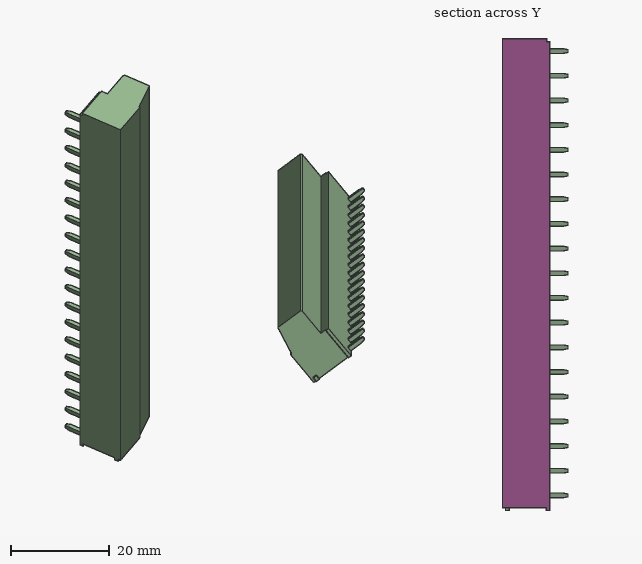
import cadquery as cq

pole_count = 19
pitch = 5.0
body_height = pole_count * pitch

base_width = 9.65
base_depth = 7.45
total_depth = 13.8
tower_left = 2.0
tower_right = 8.1
slope_foot_x = 9.4
shoulder_depth = 7.6
chamfer_x = 0.25
chamfer_y = 0.3

lip_width = 0.75
lip_height = 0.6
recess_width = 0.6
recess_height = 0.6

pin_length = 3.7
pin_thickness = 0.9
pin_width = 1.0
pin_center_y = 0.6
tip_length = 1.0
tip_size = 0.6

peg_width = 0.85
peg_depth = 1.0
peg_edge_gap = 0.6


def block(x, y, z, size_x, size_y, size_z):
    """Box whose minimum corner is at (x, y, z)."""
    return cq.Workplane("XY").box(size_x, size_y, size_z, centered=False).translate((x, y, z))


def make_body():
    outline = [
        (0, 0),
        (base_width, 0),
        (base_width, shoulder_depth),
        (slope_foot_x, shoulder_depth),
        (tower_right, total_depth),
        (tower_left + chamfer_x, total_depth),
        (tower_left, total_depth - chamfer_y),
        (tower_left, base_depth),
        (0, base_depth),
    ]
    return cq.Workplane("XY").polyline(outline).close().extrude(body_height)


def make_pin(center_z):
    """Solder pin pointing along -X, with a tapered tip."""
    shank_length = pin_length - tip_length
    shank = (
        cq.Workplane("YZ").center(pin_center_y, center_z)
        .rect(pin_thickness, pin_width).extrude(-shank_length)
    )
    tip = (
        cq.Workplane("YZ", origin=(-shank_length, 0, 0)).center(pin_center_y, center_z)
        .rect(pin_thickness, pin_width)
        .workplane(offset=-tip_length).rect(tip_size, tip_size).loft()
    )
    return shank.union(tip)


def make_rebate():
    """Cutter for the rebate along the top edge of the pin face."""
    return block(0, 0, body_height - recess_height, recess_width, base_depth, recess_height)


def make_lip():
    return block(0, 0, -lip_height, lip_width, base_depth, lip_height)


def make_peg():
    peg_x = base_width - peg_edge_gap - peg_width
    return block(peg_x, 0, -lip_height, peg_width, peg_depth, lip_height)


result = make_body().cut(make_rebate()).union(make_lip()).union(make_peg())
for pole in range(pole_count):
    result = result.union(make_pin((pole + 0.5) * pitch))